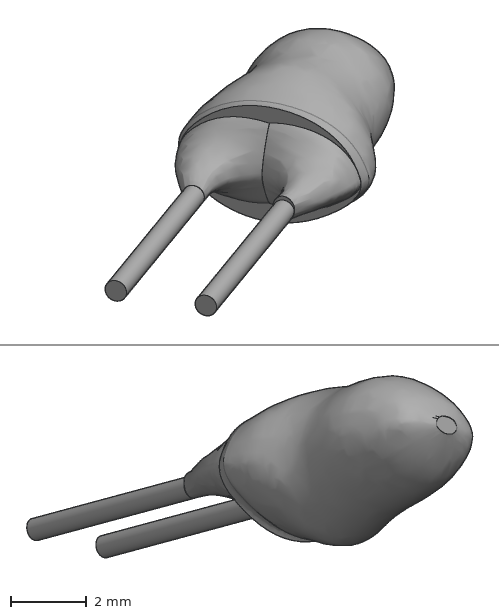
import cadquery as cq
import math


lead_diameter = 0.6
lead_offset = 1.27
lead_length = 6.0
lead_radius = lead_diameter / 2

leg_length = 2.39

round_fraction = math.sqrt(0.5)
lens_fraction = 0.66

lip_stations = [
    (0, 2.55, -1.67, 1.71),
    (0.15, 2.62, -1.53, 1.68),
    (0.29, 2.66, -1.57, 1.71),
]
bulb_stations = [
    lip_stations[-1],
    (0.72, 2.65, -1.8, 1.87),
    (1.34, 2.49, -2.05, 2.03),
    (1.83, 2.25, -2.13, 2.07),
    (2.39, 2.02, -1.96, 2.03),
    (2.92, 1.99, -1.71, 1.97),
    (3.63, 2.02, -1.5, 2.0),
    (4.32, 1.9, -1.35, 1.96),
    (4.9, 1.73, -1.14, 1.71),
    (5.41, 1.5, -0.73, 1.34),
    (5.8, 1.05, -0.23, 0.85),
    (6.0, 0.37, 0.07, 0.55),
]
tip_y = bulb_stations[-1][0]

leg_stations = [
    (0, -1.44, 2.55, -1.18, 1.3),
    (-0.29, -0.65, 2.5, -0.96, 1.04),
    (-0.58, 0, 2.43, -0.75, 0.8),
    (-1.15, 0.7, 2.23, -0.5, 0.56),
    (-1.73, 0.95, 1.95, -0.37, 0.39),
    (-leg_length, lead_offset - lead_radius, lead_offset + lead_radius, -lead_radius, lead_radius),
]
right_leg_rise = 0.12


def section(y, x_min, x_max, z_min, z_max, height_fraction):
    """Closed smooth outline in the plane at y, filling the given X and Z ranges."""
    x_mid = (x_min + x_max) / 2
    z_mid = (z_min + z_max) / 2
    half_width = (x_max - x_min) / 2
    half_height = (z_max - z_min) / 2
    near_x = round_fraction
    near_z = height_fraction
    unit_points = [
        (1, 0), (near_x, near_z), (0, 1), (-near_x, near_z),
        (-1, 0), (-near_x, -near_z), (0, -1), (near_x, -near_z),
    ]
    points = [cq.Vector(x_mid + u * half_width, y, z_mid + v * half_height) for u, v in unit_points]
    return cq.Wire.assembleEdges([cq.Edge.makeSpline(points, periodic=True)])


def blend(start, end, fraction):
    return start + (end - start) * fraction


def bulb_loft(stations):
    """Smooth skin through the stations, changing from lens-shaped at the base to round at the tip."""
    wires = []
    for y, half_width, z_min, z_max in stations:
        height_fraction = blend(lens_fraction, round_fraction, y / tip_y)
        wires.append(section(y, -half_width, half_width, z_min, z_max, height_fraction))
    return cq.Solid.makeLoft(wires)


def make_bulb():
    """Dipped bulb with a short flared lip around its flat underside."""
    lip = cq.Workplane(obj=bulb_loft(lip_stations))
    return lip.union(cq.Workplane(obj=bulb_loft(bulb_stations)))


def make_leg(side, rise):
    """Leg tapering from half the underside to a lead; side is +1 or -1 along X."""
    wires = []
    for y, inner_x, outer_x, z_min, z_max in leg_stations:
        taper = -y / leg_length
        height_fraction = blend(lens_fraction, round_fraction, taper)
        x_min, x_max = sorted((side * inner_x, side * outer_x))
        wires.append(section(y, x_min, x_max, z_min, z_max + rise * taper, height_fraction))
    leg = cq.Workplane(obj=cq.Solid.makeLoft(wires))
    keep_size = 2 * leg_length + 2 * lead_offset
    keep = cq.Workplane().box(keep_size, keep_size, keep_size).translate((side * keep_size / 2, 0, 0))
    return leg.intersect(keep)


def make_lead(side):
    """Straight round wire starting at the end of a leg."""
    start = cq.Vector(side * lead_offset, -leg_length, 0)
    return cq.Solid.makeCylinder(lead_radius, lead_length, start, cq.Vector(0, -1, 0))


bulb = make_bulb()
legs = []
leads = []
for side, rise in ((-1, 0), (1, right_leg_rise)):
    legs.append(make_leg(side, rise).val())
    leads.append(make_lead(side))

result = cq.Compound.makeCompound([bulb.val(), *legs, *leads])